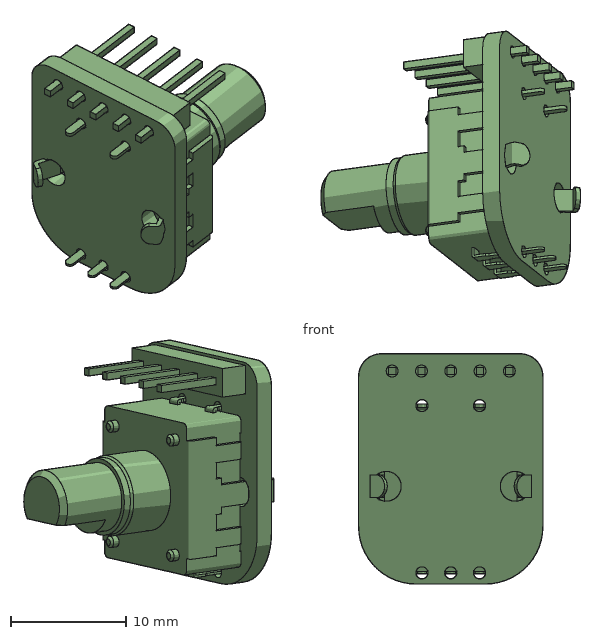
import cadquery as cq
import math


board_width = 16.0
board_thick = 1.6
board_top = 11.5
board_bottom = -8.48
top_corner_radius = 2.0
bottom_corner_radius = 5.0
pin_hole_dia = 1.03
leg_hole_dia = 2.58
leg_hole_x = 5.59

header_pins = 5
header_pitch = 2.55
header_pin_x = [(i - (header_pins - 1) / 2) * header_pitch for i in range(header_pins)]
header_z = 10.0
header_height = 2.52
header_depth = 2.5
header_pin_size = 0.63
header_pin_front = -3.02
header_pin_back = 8.5

body_half_width = 5.75
body_half_height = 6.7
body_depth = 6.0
body_corner_radius = 0.5
body_standoff = 0.1

clip_thick = 0.46
clip_half_height = 5.2
clip_front_radius = 0.35
clip_skirt_end = 3.07
arm_outer_z = 4.5
arm_inner_z = 3.0
arm_end = 0.15
arm_bend_radius = 0.45
shoulder_half_height = 1.58
shoulder_end = 2.5
leg_half_height = 0.99
leg_kink_y = -0.42
leg_elbow = (6.6, -2.42)
leg_tip = (5.5, -3.15)
leg_thick = 0.42
leg_tip_sagitta = 0.7

bushing_radius = 3.5
bushing_end = 10.08
neck_radius = 3.35
neck_start = 10.33
neck_end = 11.0
shaft_radius = 3.0
shaft_end = 17.5
shaft_chamfer = 0.5
flat_z = -1.5
flat_start = 12.5
rivet_x = 4.22
rivet_z = 5.08
rivet_radius = 0.5
rivet_end = 6.8
rivet_chamfer = 0.2

solder_pitch = 2.5
solder_pin_width = 0.8
solder_root_width = 1.1
solder_pin_end = -3.5
solder_taper_length = 0.3
solder_bend_ratio = 0.9
upper_pin_x = [-solder_pitch, solder_pitch]
lower_pin_x = [-solder_pitch, 0, solder_pitch]
upper_pin_z = 7.0
upper_pin_thick = 0.32
upper_pin_back = 0.97
upper_taper_start = 0.48
lower_pin_z = -7.5
lower_pin_thick = 0.2
lower_pin_back = 3.07
lower_taper_start = 1.8


def block(x_range, y_range, z_range):
    """Box spanning the given (low, high) ranges."""
    ranges = (x_range, y_range, z_range)
    size = [high - low for low, high in ranges]
    low_corner = cq.Vector(*[low for low, high in ranges])
    return cq.Workplane(cq.Solid.makeBox(*size, low_corner))


def rod(radius, y_start, y_end, x=0, z=0):
    """Round bar parallel to Y."""
    axis = cq.Vector(0, 1, 0)
    return cq.Workplane(cq.Solid.makeCylinder(radius, y_end - y_start, cq.Vector(x, y_start, z), axis))


def make_board():
    board = block((-board_width / 2, board_width / 2), (-board_thick, 0), (board_bottom, board_top))
    board = board.edges("|Y and >Z").fillet(top_corner_radius)
    board = board.edges("|Y and <Z").fillet(bottom_corner_radius)
    pin_places = [(x, header_z) for x in header_pin_x]
    pin_places += [(x, upper_pin_z) for x in upper_pin_x]
    pin_places += [(x, lower_pin_z) for x in lower_pin_x]
    for x, z in pin_places:
        board = board.cut(rod(pin_hole_dia / 2, -board_thick, 0, x, z))
    for x in (-leg_hole_x, leg_hole_x):
        board = board.cut(rod(leg_hole_dia / 2, -board_thick, 0, x, 0))
    return board


def make_header():
    half_length = header_pins * header_pitch / 2
    half_height = header_height / 2
    half_pin = header_pin_size / 2
    header = block(
        (-half_length, half_length), (0, header_depth), (header_z - half_height, header_z + half_height)
    )
    for x in header_pin_x:
        pin = block(
            (x - half_pin, x + half_pin),
            (header_pin_front, header_pin_back),
            (header_z - half_pin, header_z + half_pin),
        )
        header = header.union(pin)
    return header


def make_body():
    x_range = (-body_half_width, body_half_width)
    body = block(x_range, (0, body_depth), (-body_half_height, body_half_height))
    body = body.edges("|Y").fillet(body_corner_radius)
    return body.cut(block(x_range, (0, body_standoff), (-clip_half_height, clip_half_height)))


def make_leg():
    """Clip leg on the +X side: straight, kinked outward, then hooked inward with a round tip.

    The elbow is the inner corner of the hook; the outer surface bends around it.
    """
    elbow = cq.Vector(*leg_elbow)
    outer_x = body_half_width + clip_thick
    kink = elbow - cq.Vector(body_half_width, leg_kink_y)
    hook = cq.Vector(*leg_tip) - elbow
    kink_normal = cq.Vector(-kink.y, kink.x).normalized()
    hook_normal = cq.Vector(-hook.y, hook.x).normalized()
    kink_outer = elbow + kink_normal * leg_thick
    hook_outer = elbow + hook_normal * leg_thick
    bend_middle = elbow + (kink_normal + hook_normal).normalized() * leg_thick
    outer_kink_y = kink_outer.y + (outer_x - kink_outer.x) * kink.y / kink.x

    shank = (
        cq.Workplane("XY")
        .moveTo(body_half_width, shoulder_end)
        .lineTo(body_half_width, leg_kink_y)
        .lineTo(elbow.x, elbow.y)
        .lineTo(hook_outer.x, hook_outer.y)
        .threePointArc(bend_middle.toTuple()[:2], kink_outer.toTuple()[:2])
        .lineTo(outer_x, outer_kink_y)
        .lineTo(outer_x, shoulder_end)
        .close()
        .extrude(leg_half_height, both=True)
    )

    hook_plane = cq.Plane(origin=elbow, xDir=hook, normal=hook_normal)
    arc_start = hook.Length - leg_tip_sagitta
    hook_plate = (
        cq.Workplane(hook_plane)
        .moveTo(0, -leg_half_height)
        .lineTo(arc_start, -leg_half_height)
        .threePointArc((hook.Length, 0), (arc_start, leg_half_height))
        .lineTo(0, leg_half_height)
        .close()
        .extrude(leg_thick)
    )
    return shank.union(hook_plate)


def make_clip_side():
    """Clip side plate on the +X side, with two arms folded under the body and the leg."""
    x_range = (body_half_width, body_half_width + clip_thick)
    side = block(x_range, (clip_skirt_end, body_depth), (-clip_half_height, clip_half_height))
    side = side.edges("|Z and >X and >Y").fillet(clip_front_radius)
    shoulder = block(x_range, (shoulder_end, clip_skirt_end), (-shoulder_half_height, shoulder_half_height))
    side = side.union(shoulder)
    for z_range in ((arm_inner_z, arm_outer_z), (-arm_outer_z, -arm_inner_z)):
        arm = block(x_range, (arm_end, clip_skirt_end), z_range)
        arm = arm.edges("|Z and >X and <Y").fillet(arm_bend_radius)
        side = side.union(arm)
    return side.union(make_leg())


def make_shaft():
    profile = [
        (0, body_depth),
        (bushing_radius, body_depth),
        (bushing_radius, bushing_end),
        (neck_radius, neck_start),
        (neck_radius, neck_end),
        (shaft_radius, neck_end),
        (shaft_radius, shaft_end - shaft_chamfer),
        (shaft_radius - shaft_chamfer, shaft_end),
        (0, shaft_end),
    ]
    shaft = cq.Workplane("XY").polyline(profile).close().revolve(360, (0, 0, 0), (0, 1, 0))
    flat = block((-shaft_radius, shaft_radius), (flat_start, shaft_end), (-shaft_radius, flat_z))
    return shaft.cut(flat)


def make_rivet(x, z):
    return rod(rivet_radius, body_depth, rivet_end, x, z).faces(">Y").chamfer(rivet_chamfer)


def make_solder_pin(x, z, thick, back, taper_start):
    """Pin leaving the body along Z, bent toward -Y, with a wide root tapering to a round-tipped blade."""
    half_root = solder_root_width / 2
    half_blade = solder_pin_width / 2
    taper_end = taper_start - solder_taper_length
    blade = (
        cq.Workplane("XY", origin=(x, 0, z))
        .moveTo(-half_root, back)
        .lineTo(-half_root, taper_start)
        .lineTo(-half_blade, taper_end)
        .lineTo(-half_blade, solder_pin_end + half_blade)
        .threePointArc((0, solder_pin_end), (half_blade, solder_pin_end + half_blade))
        .lineTo(half_blade, taper_end)
        .lineTo(half_root, taper_start)
        .lineTo(half_root, back)
        .close()
        .extrude(thick / 2, both=True)
    )
    outward = math.copysign(1, z)
    body_side = outward * (body_half_height - thick)
    outer_side = z + outward * thick / 2
    root = block(
        (x - half_root, x + half_root),
        (back - thick, back),
        (min(body_side, outer_side), max(body_side, outer_side)),
    )
    outer_edge = "|X and >Y and >Z" if z > 0 else "|X and >Y and <Z"
    return root.union(blade).edges(outer_edge).fillet(solder_bend_ratio * thick)


clip_side = make_clip_side()
result = make_board().union(make_header()).union(make_body()).union(make_shaft())
result = result.union(clip_side).union(clip_side.mirror("YZ"))
for rivet_side_x in (-rivet_x, rivet_x):
    for rivet_side_z in (-rivet_z, rivet_z):
        result = result.union(make_rivet(rivet_side_x, rivet_side_z))
for pin_x in upper_pin_x:
    upper_pin = make_solder_pin(pin_x, upper_pin_z, upper_pin_thick, upper_pin_back, upper_taper_start)
    result = result.union(upper_pin)
for pin_x in lower_pin_x:
    lower_pin = make_solder_pin(pin_x, lower_pin_z, lower_pin_thick, lower_pin_back, lower_taper_start)
    result = result.union(lower_pin)